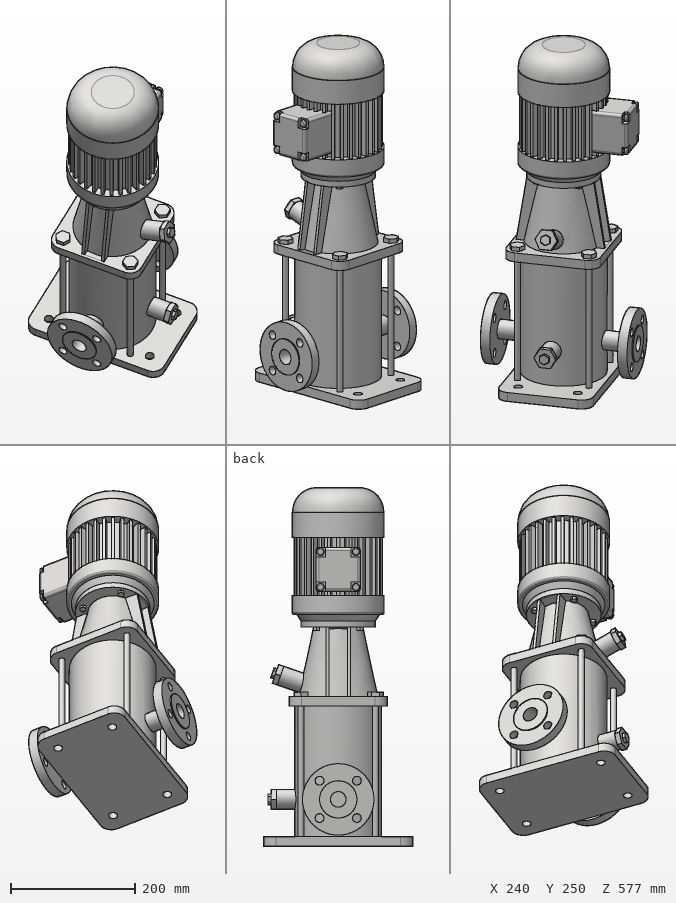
import cadquery as cq
import math


HEX_HALF_ANGLE = 30
DIAGONAL_ANGLE = 45

BASE_LENGTH = 240
PLATE_WIDTH = 158
PLATE_THICKNESS = 15.5
CORNER_RADIUS = 20
BASE_HOLE_DIAMETER = 14
BASE_HOLE_PITCH_X = 180
BASE_HOLE_PITCH_Y = 100

CASING_RADIUS = 70
CASING_HEIGHT = 210
HEAD_PLATE_BOTTOM = PLATE_THICKNESS + CASING_HEIGHT
HEAD_PLATE_TOP = HEAD_PLATE_BOTTOM + PLATE_THICKNESS
ROD_DIAMETER = 10
ROD_OFFSET = 60
ROD_NUT_FLATS = 22
ROD_NUT_HEIGHT = 7

PORT_HEIGHT = 75.5
PORT_SPAN = 250
PIPE_DIAMETER = 32
BORE_DIAMETER = 25
FLANGE_DIAMETER = 115
FLANGE_THICKNESS = 16
RAISED_FACE_DIAMETER = 60
RAISED_FACE_HEIGHT = 2
FLANGE_BOLT_CIRCLE = 85
FLANGE_HOLE_DIAMETER = 14

LANTERN_TOP = 352.5
LANTERN_BOTTOM_RADIUS = 64
LANTERN_TOP_RADIUS = 40
RIB_PAIR_WIDTH = 40
RIB_THICKNESS = 5
RIB_FOOT_REACH = 74
RIB_TOP_REACH = 56

MOTOR_FLANGE_RADIUS = 60
MOTOR_FLANGE_THICKNESS = 10
NECK_RADIUS = 66.5
BELL_RADIUS = 74
BELL_BOTTOM = 373
BELL_TOP = 403
BELL_FILLET = 3
FIN_TOP = 497
DOME_BOTTOM = 537
DOME_RADIUS = 73.5
DOME_ARC_RADIUS = 39
MOTOR_TOP = 577
CORE_RADIUS = 60
FIN_RADIUS = 71
FIN_WIDTH = 5
FIN_COUNT = 30
MOTOR_BOLT_OFFSET = 35
MOTOR_BOLT_FLATS = 10
MOTOR_BOLT_HEIGHT = 5

BOX_SIZE = 71
BOX_BOTTOM = 409.7
BOX_REACH = 117
BOX_FILLET = 5
BOX_END_FILLET = 4.8
CORNER_POCKET = 15
CORNER_POCKET_DEPTH = 9
SCREW_OFFSET = 7
SCREW_SHANK_DIAMETER = 7
SCREW_HEAD_DIAMETER = 12
SCREW_HEAD_HEIGHT = 5
SCREW_HEAD_FILLET = 2
SCREW_RECESS = 1

PLUG_BOSS_DIAMETER = 32
PLUG_COLLAR_FLATS = 32
PLUG_COLLAR_LENGTH = 8.7
PLUG_HEAD_FLATS = 15
PLUG_HEAD_LENGTH = 5.2
DRAIN_SEAT_X = 99.2
VENT_SEAT_X = 92.8
VENT_SEAT_Z = 274.5
VENT_TILT = 19
VENT_BOSS_LENGTH = 40


def cylinder(radius, bottom, top):
    return cq.Workplane("XY").workplane(offset=bottom).circle(radius).extrude(top - bottom)


def hexagon(plane, flats, length, turn=0):
    """Hexagonal prism; turn rotates its corners away from the plane's x direction."""
    across_corners = flats / math.cos(math.radians(HEX_HALF_ANGLE))
    return cq.Workplane(plane).transformed(rotate=(0, 0, turn)).polygon(6, across_corners).extrude(length)


def square_corners(offset):
    return [(sx * offset, sy * offset) for sx in (-1, 1) for sy in (-1, 1)]


def rounded_plate(length, bottom):
    plate = cq.Workplane("XY").box(length, PLATE_WIDTH, PLATE_THICKNESS, centered=(True, True, False))
    return plate.edges("|Z").fillet(CORNER_RADIUS).translate((0, 0, bottom))


def base_plate():
    plate = rounded_plate(BASE_LENGTH, 0)
    holes = plate.faces(">Z").workplane().rect(BASE_HOLE_PITCH_X, BASE_HOLE_PITCH_Y, forConstruction=True)
    return holes.vertices().hole(BASE_HOLE_DIAMETER)


def tie_rods():
    rods = cq.Workplane("XY")
    for x, y in square_corners(ROD_OFFSET):
        rod = cylinder(ROD_DIAMETER / 2, PLATE_THICKNESS / 2, HEAD_PLATE_TOP)
        nut_turn = 0 if x < 0 else HEX_HALF_ANGLE
        nut = hexagon(cq.Plane((0, 0, HEAD_PLATE_TOP)), ROD_NUT_FLATS, ROD_NUT_HEIGHT, nut_turn)
        rods = rods.union(rod.union(nut).translate((x, y, 0)))
    return rods


def port(side):
    """Flanged port; side is -1 for the -Y port and +1 for the +Y port."""
    face = PORT_SPAN / 2
    flange_front = face - RAISED_FACE_HEIGHT

    def disc(diameter, start, end):
        plane = cq.Plane((0, side * start, PORT_HEIGHT), xDir=(1, 0, 0), normal=(0, side, 0))
        return cq.Workplane(plane).circle(diameter / 2).extrude(end - start)

    body = disc(PIPE_DIAMETER, CASING_RADIUS / 2, flange_front)
    body = body.union(disc(FLANGE_DIAMETER, flange_front - FLANGE_THICKNESS, flange_front))
    body = body.union(disc(RAISED_FACE_DIAMETER, flange_front, face))
    body = body.cut(disc(BORE_DIAMETER, CASING_RADIUS, face))
    hole = disc(FLANGE_HOLE_DIAMETER, flange_front - FLANGE_THICKNESS, flange_front)
    hole_offset = FLANGE_BOLT_CIRCLE / 2 * math.sin(math.radians(DIAGONAL_ANGLE))
    for x, z in square_corners(hole_offset):
        body = body.cut(hole.translate((x, 0, z)))
    return body


def lantern_cone():
    slope = (LANTERN_BOTTOM_RADIUS - LANTERN_TOP_RADIUS) / (LANTERN_TOP - HEAD_PLATE_TOP)
    root_radius = LANTERN_BOTTOM_RADIUS + slope * PLATE_THICKNESS
    cone = cq.Workplane("XZ").polyline([
        (0, HEAD_PLATE_BOTTOM),
        (root_radius, HEAD_PLATE_BOTTOM),
        (LANTERN_TOP_RADIUS, LANTERN_TOP),
        (0, LANTERN_TOP),
    ]).close()
    return cone.revolve(360, (0, 0), (0, 1))


def yz_prism(points, width):
    return cq.Workplane("YZ").polyline(points).close().extrude(width / 2, both=True)


def rib_block():
    return yz_prism([
        (0, HEAD_PLATE_TOP),
        (RIB_FOOT_REACH, HEAD_PLATE_TOP),
        (RIB_TOP_REACH, LANTERN_TOP),
        (0, LANTERN_TOP),
    ], RIB_PAIR_WIDTH)


def rib_channel():
    """Space between two ribs; its end walls are square to the sloping rib edge."""
    lean = (RIB_FOOT_REACH - RIB_TOP_REACH) / (LANTERN_TOP - HEAD_PLATE_TOP)
    inner_reach = LANTERN_TOP_RADIUS / 2
    return yz_prism([
        (RIB_FOOT_REACH, HEAD_PLATE_TOP),
        (RIB_TOP_REACH, LANTERN_TOP),
        (inner_reach, LANTERN_TOP - lean * (RIB_TOP_REACH - inner_reach)),
        (inner_reach, HEAD_PLATE_TOP - lean * (RIB_FOOT_REACH - inner_reach)),
    ], RIB_PAIR_WIDTH - 2 * RIB_THICKNESS)


def head_plate_and_lantern():
    body = rounded_plate(PLATE_WIDTH, HEAD_PLATE_BOTTOM)
    for turn in (0, 180):
        body = body.union(rib_block().rotate((0, 0, 0), (0, 0, 1), turn))
    for turn in (0, 180):
        body = body.cut(rib_channel().rotate((0, 0, 0), (0, 0, 1), turn))
    return body.union(lantern_cone())


def motor_housing():
    flange_top = LANTERN_TOP + MOTOR_FLANGE_THICKNESS
    lower = cylinder(MOTOR_FLANGE_RADIUS, LANTERN_TOP, flange_top)
    neck = cq.Workplane("XY").workplane(offset=flange_top).circle(MOTOR_FLANGE_RADIUS)
    neck = neck.workplane(offset=BELL_BOTTOM - flange_top).circle(NECK_RADIUS).loft()
    bell = cylinder(BELL_RADIUS, BELL_BOTTOM, BELL_TOP).faces("<Z").edges().fillet(BELL_FILLET)
    cowl = cylinder(BELL_RADIUS, FIN_TOP, DOME_BOTTOM)
    arc_bottom = MOTOR_TOP - DOME_ARC_RADIUS
    flat_radius = DOME_RADIUS - DOME_ARC_RADIUS
    arc_reach = DOME_ARC_RADIUS * math.sin(math.radians(DIAGONAL_ANGLE))
    dome = cq.Workplane("XZ").moveTo(0, DOME_BOTTOM).lineTo(DOME_RADIUS, DOME_BOTTOM)
    dome = dome.lineTo(DOME_RADIUS, arc_bottom)
    dome = dome.threePointArc((flat_radius + arc_reach, arc_bottom + arc_reach), (flat_radius, MOTOR_TOP))
    dome = dome.lineTo(0, MOTOR_TOP).close().revolve(360, (0, 0), (0, 1))
    return lower.union(neck).union(bell).union(cowl).union(dome)


def finned_stator():
    stator = cylinder(CORE_RADIUS, BELL_TOP, FIN_TOP)
    fin_blank = cq.Workplane("XY").workplane(offset=BELL_TOP).center(0, FIN_RADIUS / 2)
    fin_blank = fin_blank.rect(FIN_WIDTH, FIN_RADIUS).extrude(FIN_TOP - BELL_TOP)
    fin = fin_blank.intersect(cylinder(FIN_RADIUS, BELL_TOP, FIN_TOP))
    for index in range(FIN_COUNT):
        stator = stator.union(fin.rotate((0, 0, 0), (0, 0, 1), index * 360 / FIN_COUNT))
    return stator


def motor_bolts():
    bolts = cq.Workplane("XY")
    for x, y in square_corners(MOTOR_BOLT_OFFSET):
        plane = cq.Plane((x, y, LANTERN_TOP - MOTOR_BOLT_HEIGHT))
        bolts = bolts.union(hexagon(plane, MOTOR_BOLT_FLATS, MOTOR_BOLT_HEIGHT, HEX_HALF_ANGLE))
    return bolts


def terminal_box():
    centre_z = BOX_BOTTOM + BOX_SIZE / 2
    inner_y = CORE_RADIUS / 2
    box = cq.Workplane("XY").box(BOX_SIZE, BOX_REACH - inner_y, BOX_SIZE, centered=(True, False, True))
    box = box.translate((0, inner_y, centre_z))
    box = box.edges("|Y").fillet(BOX_FILLET).faces(">Y").edges().fillet(BOX_END_FILLET)
    pocket_floor = BOX_REACH - CORNER_POCKET_DEPTH
    screw_end = BOX_REACH - SCREW_RECESS

    def outward(y):
        return cq.Workplane(cq.Plane((0, y, centre_z), xDir=(1, 0, 0), normal=(0, 1, 0)))

    pocket = outward(pocket_floor).rect(2 * CORNER_POCKET, 2 * CORNER_POCKET).extrude(CORNER_POCKET_DEPTH)
    shank = outward(pocket_floor).circle(SCREW_SHANK_DIAMETER / 2).extrude(screw_end - pocket_floor)
    head = outward(screw_end - SCREW_HEAD_HEIGHT).circle(SCREW_HEAD_DIAMETER / 2).extrude(SCREW_HEAD_HEIGHT)
    screw = shank.union(head.faces(">Y").edges().fillet(SCREW_HEAD_FILLET))
    for x, z in square_corners(BOX_SIZE / 2):
        box = box.cut(pocket.translate((x, 0, z)))
    for x, z in square_corners(BOX_SIZE / 2 - SCREW_OFFSET):
        box = box.union(screw.translate((x, 0, z)))
    return box


def plug(seat_x, seat_z, tilt, boss_length):
    """Boss with hexagonal collar and head, pointing along +X and tilted upwards."""
    angle = math.radians(tilt)
    axis = cq.Vector(math.cos(angle), 0, math.sin(angle))
    seat = cq.Vector(seat_x, 0, seat_z)

    def plane_at(distance):
        return cq.Plane(seat + axis * distance, xDir=(0, 1, 0), normal=axis)

    boss = cq.Workplane(plane_at(-boss_length)).circle(PLUG_BOSS_DIAMETER / 2).extrude(boss_length)
    collar = hexagon(plane_at(0), PLUG_COLLAR_FLATS, PLUG_COLLAR_LENGTH)
    head = hexagon(plane_at(PLUG_COLLAR_LENGTH), PLUG_HEAD_FLATS, PLUG_HEAD_LENGTH, HEX_HALF_ANGLE)
    return boss.union(collar).union(head)


result = base_plate().union(cylinder(CASING_RADIUS, PLATE_THICKNESS, HEAD_PLATE_BOTTOM))
result = result.union(head_plate_and_lantern()).union(tie_rods())
result = result.union(port(-1)).union(port(1))
result = result.union(motor_housing()).union(finned_stator()).union(motor_bolts()).union(terminal_box())
result = result.union(plug(DRAIN_SEAT_X, PORT_HEIGHT, 0, DRAIN_SEAT_X - CASING_RADIUS / 2))
result = result.union(plug(VENT_SEAT_X, VENT_SEAT_Z, VENT_TILT, VENT_BOSS_LENGTH))